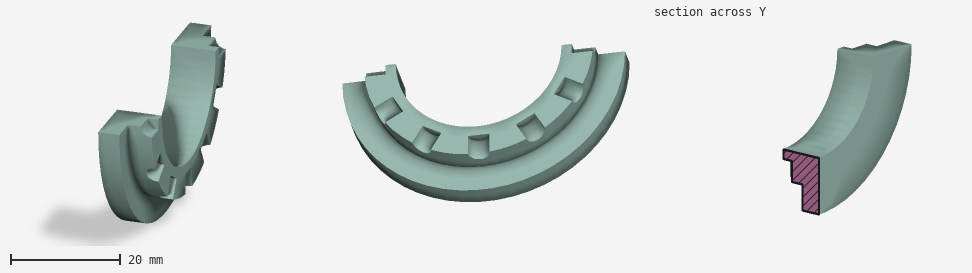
import cadquery as cq

flange_radius = 26.4
hub_radius = 21.4
bore_radius = 15.5
flange_thickness = 4.1
total_thickness = 8.6

groove_radius = 2.0
groove_inner_end = 17.4
groove_pitch = 30
half_turn = 180


def half_ring():
    """Stepped ring section revolved half a turn through -Z."""
    section = (
        cq.Workplane("XY")
        .moveTo(0, bore_radius)
        .lineTo(total_thickness, bore_radius)
        .lineTo(total_thickness, hub_radius)
        .lineTo(flange_thickness, hub_radius)
        .lineTo(flange_thickness, flange_radius)
        .lineTo(0, flange_radius)
        .close()
    )
    return section.revolve(half_turn, (0, 0, 0), (-1, 0, 0))


def groove_cutter(angle):
    """Radial cylinder on the hub's end face, turned from +Y towards -Z by angle."""
    cutter = (
        cq.Workplane("XZ", origin=(total_thickness, groove_inner_end, 0))
        .circle(groove_radius)
        .extrude(-(flange_radius - groove_inner_end))
    )
    return cutter.rotate((0, 0, 0), (1, 0, 0), -angle)


result = half_ring()
for groove_angle in range(0, half_turn + groove_pitch, groove_pitch):
    result = result.cut(groove_cutter(groove_angle))